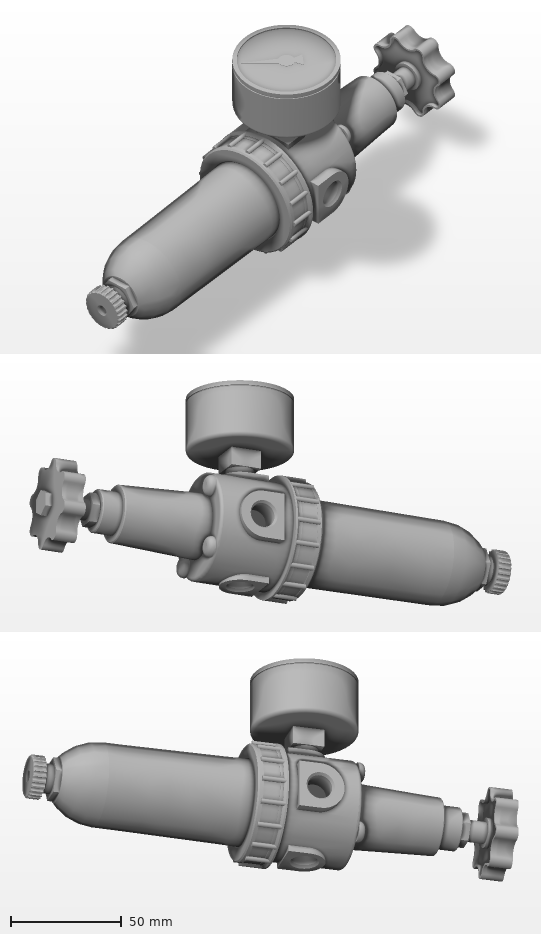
import cadquery as cq
import math


OVERALL_LENGTH = 228.2

SPINDLE_END_Y = 98.4
WHEEL_BACK_Y = 95.2
WHEEL_FRONT_Y = 84.7
SPINDLE_DIA = 10.0
END_HEX_FLATS = 10.5
LOBE_COUNT = 8
WHEEL_HALF_WIDTH = 19.6
LOBE_RADIUS = 3.2
VALLEY_RADIUS = 6.0
WHEEL_RIM_WALL = 1.0
WHEEL_RECESS_DEPTH = 2.0
HUB_DIA = 14.0

LOCKNUT_BACK_Y = 76.0
LOCKNUT_FLATS = 14.0
NUT_BEVEL_ANGLE = math.radians(30)
COLLAR_BACK_Y = 71.9
COLLAR_DIA = 20.0
BONNET_BACK_Y = 62.3
BONNET_SMALL_DIA = 26.7
BONNET_LARGE_DIA = 30.5
BONNET_EDGE_CHAMFER = 0.5

BODY_BACK_Y = 20.3
BODY_FRONT_Y = -15.3
BODY_DIA = 50.0
BODY_EDGE_FILLET = 1.5
SCREW_SPACING = 29.5
SCREW_HEAD_DIA = 9.8
SCREW_HEAD_HEIGHT = 3.5
SCREW_HEAD_FILLET = 2.7

PAD_FRONT_Y = -10.0
SIDE_PAD_RADIUS = 11.2
SIDE_PAD_FACE = 27.2
GAUGE_PAD_RADIUS = 9.5
GAUGE_PAD_FACE = 26.0
PORT_BORE_DIA = 11.5
PORT_MOUTH_DIA = 13.2
PORT_MOUTH_DEPTH = 1.4
STEM_DIA = 13.2
PORT_DEPTH = 11.5
STEM_BOTTOM_Z = GAUGE_PAD_FACE - PORT_DEPTH

SIDE_TURNS = (0, 180)
TOP_TURN = -90
BOTTOM_TURN = 90

RING_FRONT_Y = -29.2
RING_DIA = 57.0
RING_BASE_DIA = 54.3
RING_FLANGE_WIDTH = 2.0
RING_EDGE_CHAMFER = 0.7
FLANGE_CHAMFER = 1.1
BORE_CHAMFER = 0.5
GRIP_BACK_Y = -19.0
GRIP_FRONT_Y = -26.7
GRIP_DEPTH = 0.2
RIB_COUNT = 16
RIB_RADIUS = 1.1
RIB_END_GAP = 1.5

BOWL_LARGE_DIA = 40.2
BOWL_SMALL_DIA = 38.8
DOME_START_Y = -97.2
DOME_END_Y = -116.5
DOME_END_DIA = 21.0
DRAIN_HEX_FRONT_Y = -119.3
DRAIN_HEX_FLATS = 17.3
NECK_FRONT_Y = -122.8
NECK_DIA = 13.7
NECK_CHAMFER = 0.7
DRAIN_STEM_DIA = 9.8
KNOB_BACK_Y = -123.7
KNOB_FRONT_Y = SPINDLE_END_Y - OVERALL_LENGTH
KNOB_DIA = 20.0
KNURL_COUNT = 24
KNURL_RADIUS = 1.0
KNOB_EDGE_CHAMFER = 0.7
DRAIN_HOLE_DIA = 4.0
DRAIN_HOLE_DEPTH = 9.1
DRAIN_MOUTH_DIA = 5.5
DRAIN_MOUTH_DEPTH = 0.7

GAUGE_DIA = 49.0
GAUGE_TOP_Z = 64.5
GAUGE_BOTTOM_Z = 38.0
GAUGE_BOTTOM_FILLET = 1.8
GROOVE_Z = 61.8
GROOVE_WIDTH = 0.7
GROOVE_DEPTH = 0.5
DIAL_DIA = 45.0
DIAL_DEPTH = 0.7
SHANK_BOTTOM_Z = 29.7
SHANK_SIZE = 14.5
POINTER_THICKNESS = 0.2
POINTER_HUB_DIA = 7.8
POINTER_ANGLE = 225


def y_plane_and_length(back_y, front_y):
    """Return a workplane at back_y facing -Y, and the distance from it to front_y."""
    return cq.Workplane("XZ", origin=(0, back_y, 0)), back_y - front_y


def y_cylinder(diameter, back_y, front_y):
    plane, length = y_plane_and_length(back_y, front_y)
    return plane.circle(diameter / 2).extrude(length)


def z_cylinder(diameter, bottom_z, top_z):
    return cq.Workplane("XY", origin=(0, 0, bottom_z)).circle(diameter / 2).extrude(top_z - bottom_z)


def y_cone(back_diameter, front_diameter, back_y, front_y):
    outline = [(0, back_y), (back_diameter / 2, back_y), (front_diameter / 2, front_y), (0, front_y)]
    return cq.Workplane("XY").polyline(outline).close().revolve(360, (0, 0), (0, 1))


def y_hexagon(flats, back_y, front_y, corner_angle=0):
    """Hexagonal prism along Y; corner_angle turns a corner away from the X axis."""
    plane, length = y_plane_and_length(back_y, front_y)
    prism = plane.polygon(6, flats / math.cos(math.pi / 6)).extrude(length)
    return prism.rotate((0, 0, 0), (0, 1, 0), corner_angle)


def make_locknut():
    """Hexagonal nut with its corners bevelled where it meets the collar."""
    spread = 2 * (LOCKNUT_BACK_Y - COLLAR_BACK_Y) / math.tan(NUT_BEVEL_ANGLE)
    bevel = y_cone(LOCKNUT_FLATS + spread, LOCKNUT_FLATS, LOCKNUT_BACK_Y, COLLAR_BACK_Y)
    return y_hexagon(LOCKNUT_FLATS, LOCKNUT_BACK_Y, COLLAR_BACK_Y).intersect(bevel)


def make_bonnet():
    cone = y_cone(BONNET_SMALL_DIA, BONNET_LARGE_DIA, BONNET_BACK_Y, BODY_BACK_Y)
    collar = y_cylinder(COLLAR_DIA, COLLAR_BACK_Y, BONNET_BACK_Y)
    cone = cone.faces(">Y").edges().chamfer(BONNET_EDGE_CHAMFER)
    return cone.union(collar.faces(">Y").edges().chamfer(BONNET_EDGE_CHAMFER))


def polar(radius, angle):
    return radius * math.cos(angle), radius * math.sin(angle)


def wheel_outline(plane):
    """Draw the closed lobed outline: convex lobes joined by tangent concave valleys."""
    half_pitch = math.pi / LOBE_COUNT
    lobe_centre = (WHEEL_HALF_WIDTH - LOBE_RADIUS) / math.cos(half_pitch)
    half_chord = lobe_centre * math.sin(half_pitch)
    reach = LOBE_RADIUS + VALLEY_RADIUS
    valley_offset = math.sqrt(reach**2 - half_chord**2)
    valley_centre = lobe_centre * math.cos(half_pitch) + valley_offset

    share = VALLEY_RADIUS / reach
    tangent_radius = math.hypot(valley_centre - valley_offset * share, half_chord * share)
    tangent_angle = math.atan2(half_chord * share, valley_centre - valley_offset * share)

    outline = plane.moveTo(*polar(tangent_radius, -tangent_angle))
    for index in range(LOBE_COUNT):
        valley_angle = 2 * half_pitch * index
        lobe_angle = valley_angle + half_pitch
        next_valley_angle = valley_angle + 2 * half_pitch
        outline = outline.threePointArc(
            polar(valley_centre - VALLEY_RADIUS, valley_angle),
            polar(tangent_radius, valley_angle + tangent_angle),
        )
        outline = outline.threePointArc(
            polar(lobe_centre + LOBE_RADIUS, lobe_angle),
            polar(tangent_radius, next_valley_angle - tangent_angle),
        )
    return outline.close()


def make_handwheel():
    plane, thickness = y_plane_and_length(WHEEL_BACK_Y, WHEEL_FRONT_Y)
    wheel = wheel_outline(plane).extrude(thickness)
    recess_plane, recess_depth = y_plane_and_length(WHEEL_FRONT_Y + WHEEL_RECESS_DEPTH, WHEEL_FRONT_Y)
    recess = wheel_outline(recess_plane).offset2D(-WHEEL_RIM_WALL).extrude(recess_depth)
    hub = y_cylinder(HUB_DIA, WHEEL_BACK_Y, WHEEL_FRONT_Y)
    return wheel.cut(recess).union(hub)


def make_port_pad(radius, face, turn):
    """Flat-faced pad reaching outwards along +X, then turned about Y."""
    pad = (
        cq.Workplane("YZ")
        .moveTo(PAD_FRONT_Y, -radius)
        .lineTo(0, -radius)
        .threePointArc((radius, 0), (0, radius))
        .lineTo(PAD_FRONT_Y, radius)
        .close()
        .extrude(face)
    )
    return pad.rotate((0, 0, 0), (0, 1, 0), turn)


def make_stem_hole():
    """Plain hole in the upper pad for the stem of the gauge."""
    return z_cylinder(STEM_DIA, STEM_BOTTOM_Z, GAUGE_PAD_FACE)


def make_port(face, turn):
    """Countersunk blind port entering a pad along X, then turned about Y."""
    bore = cq.Workplane("YZ", origin=(face - PORT_DEPTH, 0, 0)).circle(PORT_BORE_DIA / 2).extrude(PORT_DEPTH)
    mouth = (
        cq.Workplane("YZ", origin=(face - PORT_MOUTH_DEPTH, 0, 0))
        .circle(PORT_BORE_DIA / 2)
        .workplane(offset=PORT_MOUTH_DEPTH)
        .circle(PORT_MOUTH_DIA / 2)
        .loft()
    )
    return bore.union(mouth).rotate((0, 0, 0), (0, 1, 0), turn)


def make_screw_heads():
    plane, height = y_plane_and_length(BODY_BACK_Y + SCREW_HEAD_HEIGHT, BODY_BACK_Y)
    heads = plane.rect(SCREW_SPACING, SCREW_SPACING, forConstruction=True).vertices()
    return heads.circle(SCREW_HEAD_DIA / 2).extrude(height).faces(">Y").edges().fillet(SCREW_HEAD_FILLET)


def make_regulator():
    """Body with its pads, bonnet, spindle, handwheel and the ring around the bowl."""
    regulator = y_cylinder(BODY_DIA, BODY_BACK_Y, BODY_FRONT_Y).faces(">Y").edges().fillet(BODY_EDGE_FILLET)
    for turn in SIDE_TURNS:
        regulator = regulator.union(make_port_pad(SIDE_PAD_RADIUS, SIDE_PAD_FACE, turn))
    for turn in (TOP_TURN, BOTTOM_TURN):
        regulator = regulator.union(make_port_pad(GAUGE_PAD_RADIUS, GAUGE_PAD_FACE, turn))
    for turn in SIDE_TURNS:
        regulator = regulator.cut(make_port(SIDE_PAD_FACE, turn))
    regulator = regulator.cut(make_port(GAUGE_PAD_FACE, BOTTOM_TURN)).cut(make_stem_hole())

    regulator = regulator.union(make_screw_heads())
    regulator = regulator.union(make_bonnet()).union(make_locknut())
    regulator = regulator.union(y_cylinder(SPINDLE_DIA, WHEEL_FRONT_Y, LOCKNUT_BACK_Y))
    regulator = regulator.union(make_handwheel())
    regulator = regulator.union(y_hexagon(END_HEX_FLATS, SPINDLE_END_Y, WHEEL_BACK_Y, corner_angle=90))
    return regulator.union(make_retaining_ring())


def make_retaining_ring():
    """Flanged ring with rounded grip ribs, a shallow band sunk between them and a bore for the bowl."""
    flange_front_y = BODY_FRONT_Y - RING_FLANGE_WIDTH
    rib_front_y = RING_FRONT_Y + RIB_END_GAP
    ring = y_cylinder(RING_BASE_DIA, BODY_FRONT_Y, RING_FRONT_Y)
    ring = ring.faces("<Y").edges().chamfer(RING_EDGE_CHAMFER)
    grip_band = y_cylinder(RING_BASE_DIA, GRIP_BACK_Y, GRIP_FRONT_Y)
    grip_core = y_cylinder(RING_BASE_DIA - 2 * GRIP_DEPTH, GRIP_BACK_Y, GRIP_FRONT_Y)
    ring = ring.cut(grip_band.cut(grip_core))
    flange = y_cylinder(RING_DIA, BODY_FRONT_Y, flange_front_y).faces("<Y").edges().chamfer(FLANGE_CHAMFER)
    plane, length = y_plane_and_length(BODY_FRONT_Y, rib_front_y)
    ribs = plane.polarArray(RING_DIA / 2 - RIB_RADIUS, 0, 360, RIB_COUNT).circle(RIB_RADIUS).extrude(length)
    bore = y_cylinder(BOWL_LARGE_DIA, BODY_FRONT_Y, RING_FRONT_Y)
    mouth_dia = BOWL_LARGE_DIA + 2 * BORE_CHAMFER
    mouth = y_cone(BOWL_LARGE_DIA, mouth_dia, RING_FRONT_Y + BORE_CHAMFER, RING_FRONT_Y)
    return ring.union(flange).union(ribs).cut(bore).cut(mouth)


def make_bowl_shell():
    """Bowl seated in the ring, tapered below it and closed by a dome nearly tangent to the taper."""
    start_radius = BOWL_SMALL_DIA / 2
    end_radius = DOME_END_DIA / 2
    length = DOME_START_Y - DOME_END_Y
    drop = start_radius - end_radius
    arc_radius = (length**2 + drop**2) / (2 * drop)
    mid_angle = math.asin(length / arc_radius) / 2
    arc_middle = (
        start_radius - arc_radius * (1 - math.cos(mid_angle)),
        DOME_START_Y - arc_radius * math.sin(mid_angle),
    )
    return (
        cq.Workplane("XY")
        .moveTo(0, BODY_FRONT_Y)
        .lineTo(BOWL_LARGE_DIA / 2, BODY_FRONT_Y)
        .lineTo(BOWL_LARGE_DIA / 2, RING_FRONT_Y)
        .lineTo(start_radius, DOME_START_Y)
        .threePointArc(arc_middle, (end_radius, DOME_END_Y))
        .lineTo(0, DOME_END_Y)
        .close()
        .revolve(360, (0, 0), (0, 1))
    )


def make_drain():
    """Hexagon, neck and knurled knob at the bottom of the bowl."""
    hexagon = y_hexagon(DRAIN_HEX_FLATS, DOME_END_Y, DRAIN_HEX_FRONT_Y)
    neck = y_cylinder(NECK_DIA, DRAIN_HEX_FRONT_Y, NECK_FRONT_Y).faces("<Y").edges().chamfer(NECK_CHAMFER)
    stem = y_cylinder(DRAIN_STEM_DIA, NECK_FRONT_Y, KNOB_BACK_Y)
    plane, length = y_plane_and_length(KNOB_BACK_Y, KNOB_FRONT_Y)
    flutes = plane.polarArray(KNOB_DIA / 2, 0, 360, KNURL_COUNT).circle(KNURL_RADIUS).extrude(length)
    knob = y_cylinder(KNOB_DIA, KNOB_BACK_Y, KNOB_FRONT_Y).faces("<Y").edges().chamfer(KNOB_EDGE_CHAMFER)
    hole = y_cylinder(DRAIN_HOLE_DIA, KNOB_FRONT_Y + DRAIN_HOLE_DEPTH, KNOB_FRONT_Y)
    mouth = y_cone(DRAIN_HOLE_DIA, DRAIN_MOUTH_DIA, KNOB_FRONT_Y + DRAIN_MOUTH_DEPTH, KNOB_FRONT_Y)
    return hexagon.union(neck).union(stem).union(knob.cut(flutes)).cut(hole).cut(mouth)


def make_filter_bowl():
    return make_bowl_shell().union(make_drain())


def make_pointer(dial_z):
    """Raised pointer: flared tail, round hub and needle, laid out along +X and then turned."""
    half_outline = [(-7.5, 3.7), (-3.2, 1.4), (3.2, 1.5), (14.8, 0.5)]
    tip = (20.5, 0)
    mirrored = [(along, -across) for along, across in reversed(half_outline)]
    plane = cq.Workplane("XY", origin=(0, 0, dial_z))
    needle = plane.polyline(half_outline + [tip] + mirrored).close().extrude(POINTER_THICKNESS)
    hub = plane.circle(POINTER_HUB_DIA / 2).extrude(POINTER_THICKNESS)
    return needle.union(hub).rotate((0, 0, 0), (0, 0, 1), POINTER_ANGLE)


def make_gauge():
    """Gauge case on a square shank, with a stem that fills the hole in the upper pad."""
    dial_z = GAUGE_TOP_Z - DIAL_DEPTH
    case = z_cylinder(GAUGE_DIA, GAUGE_BOTTOM_Z, GAUGE_TOP_Z).faces("<Z").edges().fillet(GAUGE_BOTTOM_FILLET)
    case = case.cut(z_cylinder(DIAL_DIA, dial_z, GAUGE_TOP_Z))
    groove = z_cylinder(GAUGE_DIA, GROOVE_Z, GROOVE_Z + GROOVE_WIDTH)
    groove = groove.cut(z_cylinder(GAUGE_DIA - 2 * GROOVE_DEPTH, GROOVE_Z, GROOVE_Z + GROOVE_WIDTH))
    shank = (
        cq.Workplane("XY", origin=(0, 0, SHANK_BOTTOM_Z))
        .rect(SHANK_SIZE, SHANK_SIZE)
        .extrude(GAUGE_BOTTOM_Z - SHANK_BOTTOM_Z)
    )
    stem = z_cylinder(STEM_DIA, STEM_BOTTOM_Z, SHANK_BOTTOM_Z)
    return case.cut(groove).union(make_pointer(dial_z)).union(shank).union(stem)


regulator = make_regulator()
filter_bowl = make_filter_bowl()
gauge = make_gauge()

result = cq.Compound.makeCompound(
    [regulator.solids().val(), filter_bowl.solids().val(), gauge.solids().val()]
)